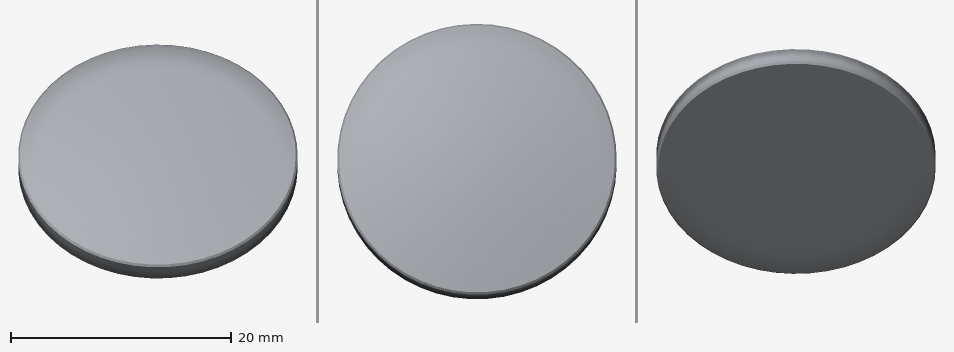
import cadquery as cq

diameter = 25.4
center_thickness = 2.9
dome_height = 0.86
bevel = 0.18

radius = diameter / 2
dome_edge_radius = radius - bevel
dome_edge_z = center_thickness - dome_height

dome_radius = (dome_edge_radius**2 + dome_height**2) / (2 * dome_height)

mid_x = dome_edge_radius / 2
mid_z = center_thickness - dome_radius + (dome_radius**2 - mid_x**2) ** 0.5

half_section = (
    cq.Workplane("XZ")
    .lineTo(radius - bevel, 0)
    .lineTo(radius, bevel)
    .lineTo(radius, dome_edge_z - bevel)
    .lineTo(dome_edge_radius, dome_edge_z)
    .threePointArc((mid_x, mid_z), (0, center_thickness))
    .close()
)

result = half_section.revolve(360, (0, 0), (0, 1))